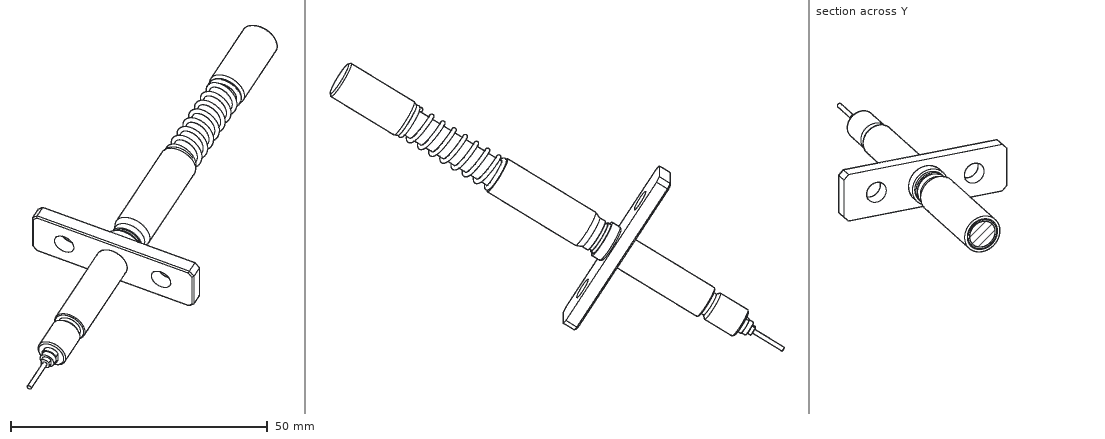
import cadquery as cq


PLATE_LENGTH = 35.0
PLATE_HEIGHT = 10.0
PLATE_THICKNESS = 2.8
PLATE_CORNER_CHAMFER = 1.0
PLATE_EDGE_CHAMFER = 0.3
HOLE_DIAMETER = 4.2
HOLE_SPACING = 21.0

BODY_RADIUS = 3.8
TUBE_RADIUS = 3.3
FLANGE_CONE_RADIUS = 3.6
FLANGE_CONE_LENGTH = 0.35
FLANGE_LENGTH = 1.8
SNAP_GROOVE_RADIUS = 3.0
SNAP_GROOVE_LENGTH = 0.65
SNAP_GROOVE_OFFSET = 0.6
NECK_LENGTH = 2.55
SLEEVE_CONE_LENGTH = 1.25
SLEEVE_LENGTH = 20.25

SHAFT_RADIUS = 2.75
SHAFT_LENGTH = 20.8
CAP_CONE_RADIUS = 3.5
CAP_CONE_LENGTH = 0.7
CAP_LENGTH = 14.9
CAP_CHAMFER = 0.4

WIRE_RADIUS = 0.45
WIRE_PRESS_DEPTH = 0.05
COIL_RADIUS = SHAFT_RADIUS + WIRE_RADIUS - WIRE_PRESS_DEPTH
COIL_PITCH = 2.57
COIL_TURNS = 7.5

TUBE_LENGTH = 19.1
TUBE_CHAMFER = 0.2
FRONT_GROOVE_RADIUS = 2.4
FRONT_GROOVE_LENGTH = 0.8
NOSE_RADIUS = 3.0
NOSE_CONE_LENGTH = 0.6
NOSE_LENGTH = 6.6
NOSE_CHAMFER = 0.3

COLLAR_RADIUS = 1.75
COLLAR_WIDTH = 3.0
COLLAR_LENGTH = 0.9
BUSH_RADIUS = 1.5
BUSH_LENGTH = 1.0
TERMINAL_RADIUS = 1.05
TERMINAL_WIDTH = 1.7
TERMINAL_LENGTH = 0.85
PIN_RADIUS = 0.45

TOTAL_LENGTH = 102.2

FLANGE_START = PLATE_THICKNESS + FLANGE_CONE_LENGTH
FLANGE_END = FLANGE_START + FLANGE_LENGTH
SNAP_GROOVE_START = FLANGE_END + SNAP_GROOVE_OFFSET
SNAP_GROOVE_END = SNAP_GROOVE_START + SNAP_GROOVE_LENGTH
SLEEVE_CONE_START = FLANGE_END + NECK_LENGTH
SLEEVE_START = SLEEVE_CONE_START + SLEEVE_CONE_LENGTH
SLEEVE_END = SLEEVE_START + SLEEVE_LENGTH
CAP_CONE_START = SLEEVE_END + SHAFT_LENGTH
CAP_START = CAP_CONE_START + CAP_CONE_LENGTH
CAP_END = CAP_START + CAP_LENGTH

GROOVE_START = -TUBE_LENGTH
NOSE_CONE_START = GROOVE_START - FRONT_GROOVE_LENGTH
NOSE_START = NOSE_CONE_START - NOSE_CONE_LENGTH
NOSE_END = NOSE_START - NOSE_LENGTH
COLLAR_END = NOSE_END - COLLAR_LENGTH
BUSH_END = COLLAR_END - BUSH_LENGTH
TERMINAL_END = BUSH_END - TERMINAL_LENGTH
PIN_END = CAP_END - TOTAL_LENGTH


def cylinder(radius, start, end):
    """Cylinder on the Y axis between two stations."""
    return cq.Workplane("XZ", origin=(0, end, 0)).circle(radius).extrude(end - start)


def flatted_cylinder(radius, width, start, end):
    """Cylinder with two flats, parallel to YZ, set a given width apart."""
    slab = cq.Workplane("XZ", origin=(0, end, 0)).rect(width, 2 * radius).extrude(end - start)
    return cylinder(radius, start, end).intersect(slab)


def make_barrel():
    """Turned body from nose to cap, revolved from its (radius, Y) outline."""
    outline = [
        (0, NOSE_END),
        (NOSE_RADIUS - NOSE_CHAMFER, NOSE_END),
        (NOSE_RADIUS, NOSE_END + NOSE_CHAMFER),
        (NOSE_RADIUS, NOSE_START),
        (FRONT_GROOVE_RADIUS, NOSE_CONE_START),
        (FRONT_GROOVE_RADIUS, GROOVE_START),
        (TUBE_RADIUS - TUBE_CHAMFER, GROOVE_START),
        (TUBE_RADIUS, GROOVE_START + TUBE_CHAMFER),
        (TUBE_RADIUS, -TUBE_CHAMFER),
        (TUBE_RADIUS - TUBE_CHAMFER, 0),
        (TUBE_RADIUS - TUBE_CHAMFER, PLATE_THICKNESS),
        (FLANGE_CONE_RADIUS, PLATE_THICKNESS),
        (BODY_RADIUS, FLANGE_START),
        (BODY_RADIUS, FLANGE_END),
        (TUBE_RADIUS, FLANGE_END),
        (TUBE_RADIUS, SNAP_GROOVE_START),
        (SNAP_GROOVE_RADIUS, SNAP_GROOVE_START),
        (SNAP_GROOVE_RADIUS, SNAP_GROOVE_END),
        (TUBE_RADIUS, SNAP_GROOVE_END),
        (TUBE_RADIUS, SLEEVE_CONE_START),
        (BODY_RADIUS, SLEEVE_START),
        (BODY_RADIUS, SLEEVE_END),
        (SHAFT_RADIUS, SLEEVE_END),
        (SHAFT_RADIUS, CAP_CONE_START),
        (CAP_CONE_RADIUS, CAP_CONE_START),
        (BODY_RADIUS, CAP_START),
        (BODY_RADIUS, CAP_END - CAP_CHAMFER),
        (BODY_RADIUS - CAP_CHAMFER, CAP_END),
        (0, CAP_END),
    ]
    return cq.Workplane("XY").polyline(outline).close().revolve(360, (0, 0, 0), (0, 1, 0))


def make_tip():
    """Flatted collar, round bush, flatted terminal and the thin contact pin."""
    collar = flatted_cylinder(COLLAR_RADIUS, COLLAR_WIDTH, COLLAR_END, NOSE_END)
    bush = cylinder(BUSH_RADIUS, BUSH_END, COLLAR_END)
    terminal = flatted_cylinder(TERMINAL_RADIUS, TERMINAL_WIDTH, TERMINAL_END, BUSH_END)
    pin = cylinder(PIN_RADIUS, PIN_END, TERMINAL_END)
    return collar.union(bush).union(terminal).union(pin)


def make_plate():
    """Mounting plate with a chamfered front rim, chamfered corners and two holes."""
    plate = cq.Workplane("XY").box(PLATE_LENGTH, PLATE_THICKNESS, PLATE_HEIGHT)
    plate = plate.translate((0, PLATE_THICKNESS / 2, 0))
    plate = plate.edges("|Y").chamfer(PLATE_CORNER_CHAMFER)
    plate = plate.faces("<Y").edges().chamfer(PLATE_EDGE_CHAMFER)
    holes = (
        cq.Workplane("XZ")
        .pushPoints([(-HOLE_SPACING / 2, 0), (HOLE_SPACING / 2, 0)])
        .circle(HOLE_DIAMETER / 2)
        .extrude(-PLATE_THICKNESS)
    )
    return plate.cut(holes)


def make_end_ring(station):
    """Closed ring of spring wire around the shaft."""
    ring = cq.Solid.makeTorus(COIL_RADIUS, WIRE_RADIUS, cq.Vector(0, station, 0), cq.Vector(0, 1, 0))
    return cq.Workplane(obj=ring)


def make_spring():
    """Left-handed coil with a closed ring at each end, pressed onto the shaft."""
    first_ring = SLEEVE_END + WIRE_RADIUS
    last_ring = CAP_CONE_START - WIRE_RADIUS
    helix = cq.Wire.makeHelix(COIL_PITCH, COIL_PITCH * COIL_TURNS, COIL_RADIUS, lefthand=True)
    spring = (
        cq.Workplane("XZ", origin=(COIL_RADIUS, 0, 0))
        .circle(WIRE_RADIUS)
        .sweep(cq.Workplane(obj=helix), isFrenet=True)
    )
    spring = spring.rotate((0, 0, 0), (1, 0, 0), -90).translate((0, first_ring, 0))
    for station in (first_ring, last_ring):
        spring = spring.union(make_end_ring(station))
    return spring


result = make_barrel().union(make_tip()).union(make_plate()).union(make_spring())